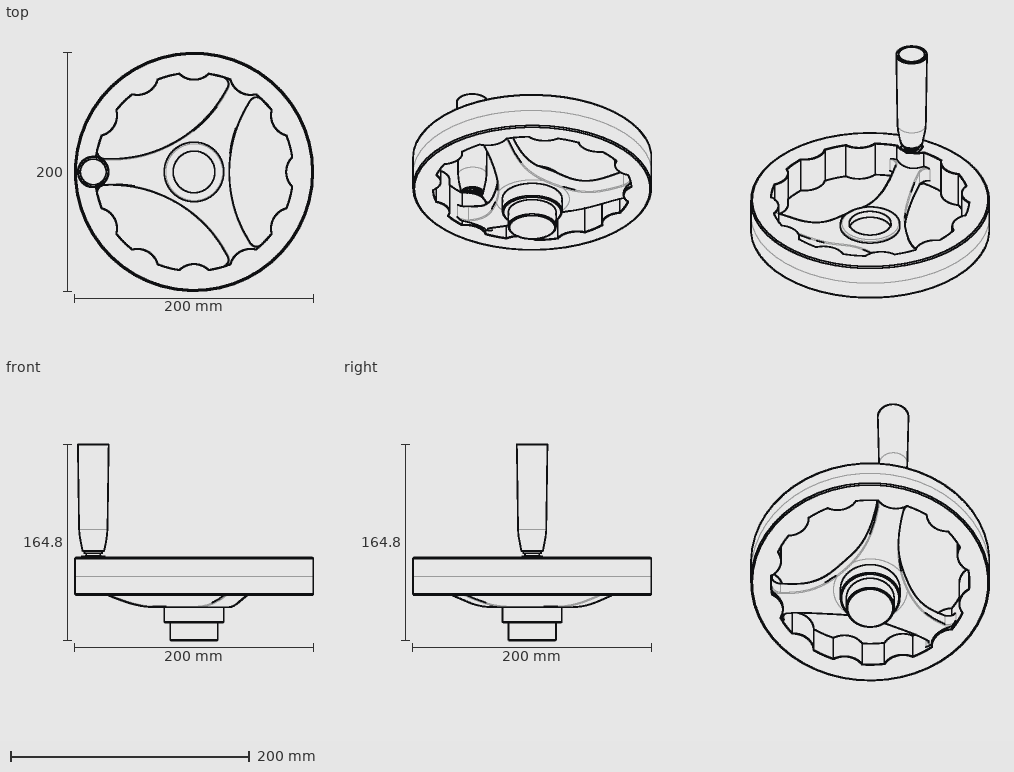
import cadquery as cq
import math

RIM_RADIUS = 100
RIM_BOTTOM = 38
RIM_HEIGHT = 32
RIM_TOP = RIM_BOTTOM + RIM_HEIGHT
RIM_MIDDLE = RIM_BOTTOM + RIM_HEIGHT / 2
RIM_DRAFT = 0.05
RIM_CHAMFER = 1.2
OPENING_CHAMFER = 0.5
LIP_TAPER = -45

BUMP_COUNT = 12
VALLEY_RADIUS = 83.0
BUMP_TIP_RADIUS = 77.0
BUMP_HALF_ANGLE = 8.6

HUB_RADIUS = 25.0
HUB_STEP_HEIGHT = 15.0
HUB_TOP = 46
HUB_CHAMFER = 1.0
HUB_TOP_FILLET = 1.2
NOSE_RADIUS = 20
RECESS_RADIUS = 35.0 / 2
RECESS_DEPTH = 6

SPOKE_COUNT = 3
WEB_BOTTOM = 28
WEB_FLAT_RADIUS = 31.0
WEB_UNDERSIDE = [(44, 29.0), (60, 33.5), (72, 38), (86, 43.5)]
WEB_RIM_SLOPE = 0.39
WEB_TOP_SIDE = [(86, 56.5), (76, 53.8), (64, 48.2), (50, 42), (36, 39.5), (HUB_RADIUS, 43.0)]

WINDOW_NEAR = 29.5
WINDOW_ARC_RADIUS = 110
WINDOW_CORNER_RADIUS = 6
SPOKE_EDGE_FILLET = 0.8

HANDLE_OFFSET = 84.5
GRIP_BOTTOM = 75.0
GRIP_TOP = 164.8
GRIP_SHOULDER = 93.5
GRIP_BOTTOM_RADIUS = 9.2
GRIP_SHOULDER_RADIUS = 12
GRIP_TOP_RADIUS = 13.0
GRIP_BULGE = 0.5
GRIP_EDGE_CHAMFER = 0.5

HEX_FLATS = 16.5
HEX_HEIGHT = 0.5
HEX_TURN = 30
FLANGE_RADIUS = 12.5 / 2
FLANGE_HEIGHT = 0.5
NECK_RADIUS = 6
COLLAR_RADIUS = 15.0 / 2
COLLAR_HEIGHT = 1.8
SHANK_RADIUS = 5.0
HEAD_RADIUS = 21.5 / 2
HEAD_HEIGHT = 2


def polar(radius, degrees):
    angle = math.radians(degrees)
    return (radius * math.cos(angle), radius * math.sin(angle))


def opening_outline(height):
    pitch = 360 / BUMP_COUNT
    outline = cq.Workplane("XY").workplane(offset=height).moveTo(*polar(VALLEY_RADIUS, -BUMP_HALF_ANGLE))
    for index in range(BUMP_COUNT):
        middle = index * pitch
        bump_end = polar(VALLEY_RADIUS, middle + BUMP_HALF_ANGLE)
        valley_middle = polar(VALLEY_RADIUS, middle + pitch / 2)
        valley_end = polar(VALLEY_RADIUS, middle + pitch - BUMP_HALF_ANGLE)
        outline = outline.threePointArc(polar(BUMP_TIP_RADIUS, middle), bump_end)
        outline = outline.threePointArc(valley_middle, valley_end)
    return outline.close()


def cut_rim_opening(rim):
    hole = opening_outline(RIM_BOTTOM).extrude(RIM_HEIGHT)
    top_lip = opening_outline(RIM_TOP - OPENING_CHAMFER).extrude(OPENING_CHAMFER, taper=LIP_TAPER)
    bottom_lip = opening_outline(RIM_BOTTOM + OPENING_CHAMFER).extrude(-OPENING_CHAMFER, taper=LIP_TAPER)
    return rim.cut(hole).cut(top_lip).cut(bottom_lip)


def make_rim():
    end_radius = RIM_RADIUS - RIM_DRAFT
    blank = (
        cq.Workplane("XZ")
        .moveTo(0, RIM_BOTTOM)
        .lineTo(end_radius - RIM_CHAMFER, RIM_BOTTOM)
        .lineTo(end_radius, RIM_BOTTOM + RIM_CHAMFER)
        .lineTo(RIM_RADIUS, RIM_MIDDLE)
        .lineTo(end_radius, RIM_TOP - RIM_CHAMFER)
        .lineTo(end_radius - RIM_CHAMFER, RIM_TOP)
        .lineTo(0, RIM_TOP)
        .close()
        .revolve(360, (0, 0), (0, 1))
    )
    return cut_rim_opening(blank)


def make_web():
    return (
        cq.Workplane("XZ")
        .moveTo(0, WEB_BOTTOM)
        .lineTo(WEB_FLAT_RADIUS, WEB_BOTTOM)
        .spline(WEB_UNDERSIDE, tangents=[(1, 0), (1, WEB_RIM_SLOPE)], includeCurrent=True)
        .lineTo(*WEB_TOP_SIDE[0])
        .spline(WEB_TOP_SIDE[1:], includeCurrent=True)
        .lineTo(0, WEB_TOP_SIDE[-1][1])
        .close()
        .revolve(360, (0, 0), (0, 1))
    )


def make_windows():
    blank = cq.Workplane("XY").circle(VALLEY_RADIUS).extrude(RIM_TOP)
    disc = (
        cq.Workplane("XY")
        .center(WINDOW_NEAR + WINDOW_ARC_RADIUS, 0)
        .circle(WINDOW_ARC_RADIUS)
        .extrude(RIM_TOP)
    )
    window = blank.intersect(disc).edges("|Z").fillet(WINDOW_CORNER_RADIUS)
    return [window.rotate((0, 0, 0), (0, 0, 1), i * 360 / SPOKE_COUNT) for i in range(SPOKE_COUNT)]


def make_spokes():
    spokes = make_web()
    for window in make_windows():
        spokes = spokes.cut(window)
    return spokes.faces("%CYLINDER").edges("not |Z").fillet(SPOKE_EDGE_FILLET)


def make_hub():
    nose = cq.Workplane("XY").circle(NOSE_RADIUS).extrude(HUB_STEP_HEIGHT).faces("<Z").chamfer(HUB_CHAMFER)
    barrel = (
        cq.Workplane("XY")
        .workplane(offset=HUB_STEP_HEIGHT)
        .circle(HUB_RADIUS)
        .extrude(HUB_TOP - HUB_STEP_HEIGHT)
        .faces("<Z")
        .chamfer(HUB_CHAMFER)
        .faces(">Z")
        .fillet(HUB_TOP_FILLET)
    )
    return nose.union(barrel)


def make_wheel():
    recess = (
        cq.Workplane("XY")
        .workplane(offset=HUB_TOP - RECESS_DEPTH)
        .circle(RECESS_RADIUS)
        .extrude(RECESS_DEPTH)
    )
    return make_rim().union(make_spokes()).union(make_hub()).cut(recess)


def make_spindle():
    flange_bottom = RIM_TOP + HEX_HEIGHT
    neck_bottom = flange_bottom + FLANGE_HEIGHT
    collar_bottom = GRIP_BOTTOM - COLLAR_HEIGHT
    head_bottom = GRIP_TOP - HEAD_HEIGHT
    hexagon = (
        cq.Workplane("XY")
        .workplane(offset=RIM_TOP)
        .polygon(6, HEX_FLATS, circumscribed=True)
        .extrude(HEX_HEIGHT)
        .rotate((0, 0, 0), (0, 0, 1), HEX_TURN)
    )
    turned = (
        cq.Workplane("XZ")
        .moveTo(0, flange_bottom)
        .lineTo(FLANGE_RADIUS, flange_bottom)
        .lineTo(FLANGE_RADIUS, neck_bottom)
        .lineTo(NECK_RADIUS, neck_bottom)
        .lineTo(NECK_RADIUS, collar_bottom)
        .lineTo(COLLAR_RADIUS, collar_bottom)
        .lineTo(COLLAR_RADIUS, GRIP_BOTTOM)
        .lineTo(SHANK_RADIUS, GRIP_BOTTOM)
        .lineTo(SHANK_RADIUS, head_bottom)
        .lineTo(HEAD_RADIUS, head_bottom)
        .lineTo(HEAD_RADIUS, GRIP_TOP)
        .lineTo(0, GRIP_TOP)
        .close()
        .revolve(360, (0, 0), (0, 1))
    )
    return hexagon.union(turned).translate((-HANDLE_OFFSET, 0, 0))


def make_grip(spindle):
    taper_middle = (
        (GRIP_BOTTOM_RADIUS + GRIP_SHOULDER_RADIUS) / 2 + GRIP_BULGE,
        (GRIP_BOTTOM + GRIP_SHOULDER) / 2,
    )
    blank = (
        cq.Workplane("XZ")
        .moveTo(0, GRIP_BOTTOM)
        .lineTo(GRIP_BOTTOM_RADIUS - GRIP_EDGE_CHAMFER, GRIP_BOTTOM)
        .lineTo(GRIP_BOTTOM_RADIUS, GRIP_BOTTOM + GRIP_EDGE_CHAMFER)
        .threePointArc(taper_middle, (GRIP_SHOULDER_RADIUS, GRIP_SHOULDER))
        .lineTo(GRIP_TOP_RADIUS, GRIP_TOP - GRIP_EDGE_CHAMFER)
        .lineTo(GRIP_TOP_RADIUS - GRIP_EDGE_CHAMFER, GRIP_TOP)
        .lineTo(0, GRIP_TOP)
        .close()
        .revolve(360, (0, 0), (0, 1))
        .translate((-HANDLE_OFFSET, 0, 0))
    )
    return blank.cut(spindle)


wheel = make_wheel()
spindle = make_spindle()
grip = make_grip(spindle)

result = cq.Compound.makeCompound([wheel.val(), spindle.val(), grip.val()])